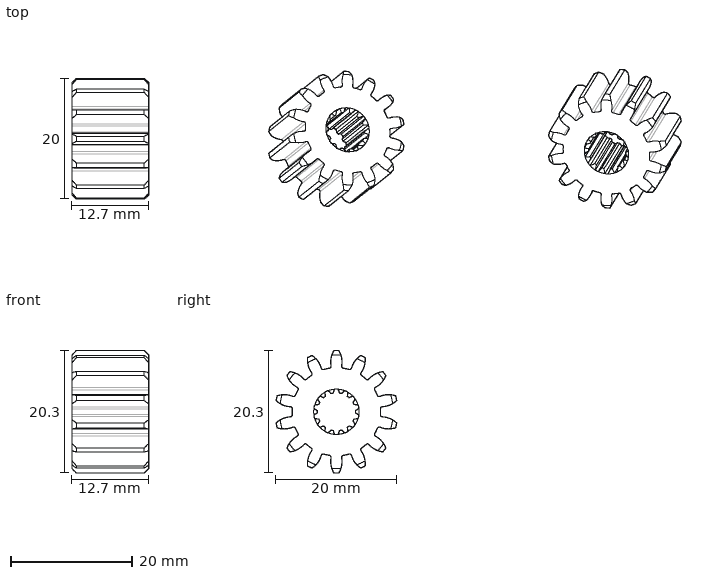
import cadquery as cq
import math

face_width = 12.7
tooth_count = 14
tooth_step = 2 * math.pi / tooth_count
top_angle = math.pi / 2

tip_radius = 10.15
root_radius = 7.32
belly_radius = 8.23
belly_half_thickness = 0.95
flank_arc_radius = 3.65
root_fillet = 0.3
tip_chamfer = 0.75

spline_module = 0.5
spline_pitch_radius = spline_module * tooth_count / 2
spline_pressure_angle = math.radians(30)
spline_base_radius = spline_pitch_radius * math.cos(spline_pressure_angle)
spline_root_radius = spline_module * (tooth_count + 1) / 2
spline_tip_radius = 3.13
flank_intervals = 6


def polar(radius, angle):
    return (radius * math.cos(angle), radius * math.sin(angle))


def circle_crossing(radius, center, center_circle_radius):
    """Crossing of a circle about the origin with another circle, on the +angle side."""
    center_distance = math.hypot(*center)
    cosine = (radius**2 + center_distance**2 - center_circle_radius**2) / (2 * radius * center_distance)
    return polar(radius, math.atan2(center[1], center[0]) + math.acos(cosine))


def toward(start, end, distance):
    """Point at the given distance from start, heading for end."""
    return tuple(s + distance * (e - s) / math.dist(start, end) for s, e in zip(start, end))


def placed(point, angle, side):
    """Point of a tooth along +x, mirrored for side -1 and then turned to the given angle."""
    return polar(math.hypot(*point), angle + side * math.atan2(point[1], point[0]))


def end_face():
    """Workplane on the -X face of the pinion; its local axes are Y and Z."""
    return cq.Workplane("YZ", origin=(-face_width / 2, 0, 0))


def gear_outline():
    """Closed outer profile, drawn counterclockwise tooth by tooth."""
    axis = (0, 0)
    flank_center = (belly_radius, belly_half_thickness - flank_arc_radius)
    tip_corner = circle_crossing(tip_radius, flank_center, flank_arc_radius)
    flank_middle = (belly_radius, belly_half_thickness)
    fillet_center = circle_crossing(root_radius + root_fillet, flank_center, flank_arc_radius + root_fillet)
    flank_foot = toward(fillet_center, flank_center, root_fillet)
    fillet_foot = toward(fillet_center, axis, root_fillet)
    chord_middle = tuple((f + r) / 2 for f, r in zip(flank_foot, fillet_foot))
    fillet_middle = toward(fillet_center, chord_middle, root_fillet)

    outline = end_face().moveTo(*placed(fillet_foot, top_angle, -1))
    for tooth in range(tooth_count):
        angle = top_angle + tooth * tooth_step
        outline = (
            outline.threePointArc(placed(fillet_middle, angle, -1), placed(flank_foot, angle, -1))
            .threePointArc(placed(flank_middle, angle, -1), placed(tip_corner, angle, -1))
            .threePointArc(polar(tip_radius, angle), placed(tip_corner, angle, 1))
            .threePointArc(placed(flank_middle, angle, 1), placed(flank_foot, angle, 1))
            .threePointArc(placed(fillet_middle, angle, 1), placed(fillet_foot, angle, 1))
            .threePointArc(
                polar(root_radius, angle + tooth_step / 2),
                placed(fillet_foot, angle + tooth_step, -1),
            )
        )
    return outline.close()


def involute_angle(radius):
    """Polar angle swept by the spline involute between its base circle and the radius."""
    pressure_angle = math.acos(spline_base_radius / radius)
    return math.tan(pressure_angle) - pressure_angle


def space_flank():
    """Points along one flank of a spline space centered on +x, from tip to root circle."""
    base_half_angle = tooth_step / 4 + involute_angle(spline_pitch_radius)
    radius_step = (spline_root_radius - spline_tip_radius) / flank_intervals
    radii = [spline_tip_radius + i * radius_step for i in range(flank_intervals + 1)]
    return [polar(radius, base_half_angle - involute_angle(radius)) for radius in radii]


def spline_outline():
    """Closed bore profile, drawn counterclockwise space by space."""
    rising = space_flank()
    falling = rising[::-1]
    outline = end_face().moveTo(*placed(rising[0], top_angle, -1))
    for space in range(tooth_count):
        angle = top_angle + space * tooth_step
        outline = (
            outline.spline([placed(point, angle, -1) for point in rising[1:]], includeCurrent=True)
            .threePointArc(polar(spline_root_radius, angle), placed(falling[0], angle, 1))
            .spline([placed(point, angle, 1) for point in falling[1:]], includeCurrent=True)
            .threePointArc(
                polar(spline_tip_radius, angle + tooth_step / 2),
                placed(rising[0], angle + tooth_step, -1),
            )
        )
    return outline.close()


def chamfered_blank():
    """Cylinder whose 45 degree end chamfers bevel the gear tooth tips."""
    return end_face().circle(tip_radius).extrude(face_width).edges("%CIRCLE").chamfer(tip_chamfer)


def bore_countersinks():
    """45 degree cones that bevel the spline teeth down to their root circle at both ends."""
    half_width = face_width / 2
    cone = (
        cq.Workplane("XY")
        .moveTo(half_width, 0)
        .lineTo(half_width, spline_root_radius)
        .lineTo(half_width - spline_root_radius, 0)
        .close()
        .revolve(360, (0, 0, 0), (1, 0, 0))
    )
    return cone.union(cone.mirror("YZ"))


gear = gear_outline().extrude(face_width).intersect(chamfered_blank())
bore = spline_outline().extrude(face_width)
result = gear.cut(bore).cut(bore_countersinks())